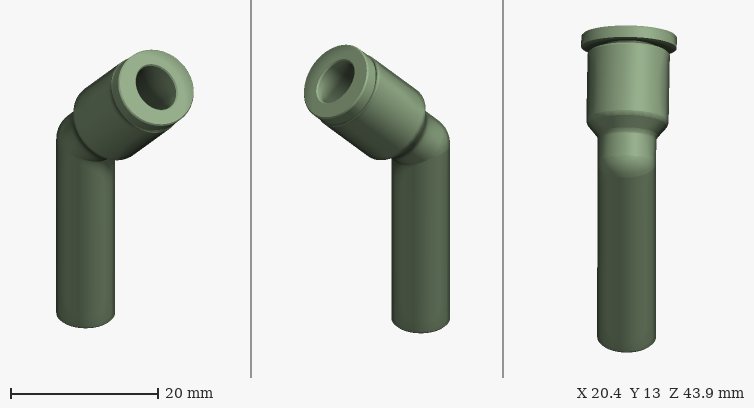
import cadquery as cq

stem_radius = 4.0
stem_length = 27.5
stem_chamfer = 0.25
bend_angle = 45

body_diameter = 11.2
body_radius = body_diameter / 2
shoulder_start = 3.6
shoulder_length = 1.98
shoulder_end = shoulder_start + shoulder_length
shoulder_round = 1.0
body_end = 15.55
body_chamfer = 0.25

sleeve_radius = 3.75
collar_start = 16.3
collar_end = 17.95
collar_half_width = 6.5
collar_half_depth = 5.45
collar_chamfer = 0.18

bore_radius = 3.25
bore_chamfer = 0.18
bore_bottom = shoulder_end
bore_depth = collar_end - bore_bottom


def make_stem():
    tube = cq.Workplane("XY").circle(stem_radius).extrude(stem_length)
    return tube.faces("<Z").chamfer(stem_chamfer)


def make_elbow_ball():
    return cq.Workplane("XY").sphere(stem_radius).translate((0, 0, stem_length))


def make_body():
    """Neck, conical shoulder and cylinder, revolved about Z from the elbow centre."""
    profile = (
        cq.Workplane("XZ")
        .lineTo(stem_radius, 0)
        .lineTo(stem_radius, shoulder_start)
        .lineTo(body_radius, shoulder_end)
        .lineTo(body_radius, body_end)
        .lineTo(0, body_end)
        .close()
    )
    body = profile.revolve(360, (0, 0), (0, 1))
    body = body.faces("%CONE").edges("%CIRCLE").fillet(shoulder_round)
    return body.faces(">Z").chamfer(body_chamfer)


def make_sleeve():
    """Round sleeve leaving the body and the oval collar on its end."""
    sleeve = (
        cq.Workplane("XY")
        .workplane(offset=bore_bottom)
        .circle(sleeve_radius)
        .extrude(collar_start - bore_bottom)
    )
    collar = (
        cq.Workplane("XY")
        .workplane(offset=collar_start)
        .ellipse(collar_half_depth, collar_half_width)
        .extrude(collar_end - collar_start)
        .faces(">Z")
        .chamfer(collar_chamfer)
    )
    return sleeve.union(collar)


def make_socket():
    """Blind space for the tube, flared at its mouth."""
    profile = (
        cq.Workplane("XZ", origin=(0, 0, bore_bottom))
        .lineTo(bore_radius, 0)
        .lineTo(bore_radius, bore_depth - bore_chamfer)
        .lineTo(bore_radius + bore_chamfer, bore_depth)
        .lineTo(0, bore_depth)
        .close()
    )
    return profile.revolve(360, (0, 0), (0, 1))


def tilt_onto_stem(head):
    tilted = head.rotate((0, 0, 0), (0, 1, 0), bend_angle)
    return tilted.translate((0, 0, stem_length))


head = make_body().union(make_sleeve()).cut(make_socket())
result = make_stem().union(make_elbow_ball()).union(tilt_onto_stem(head))